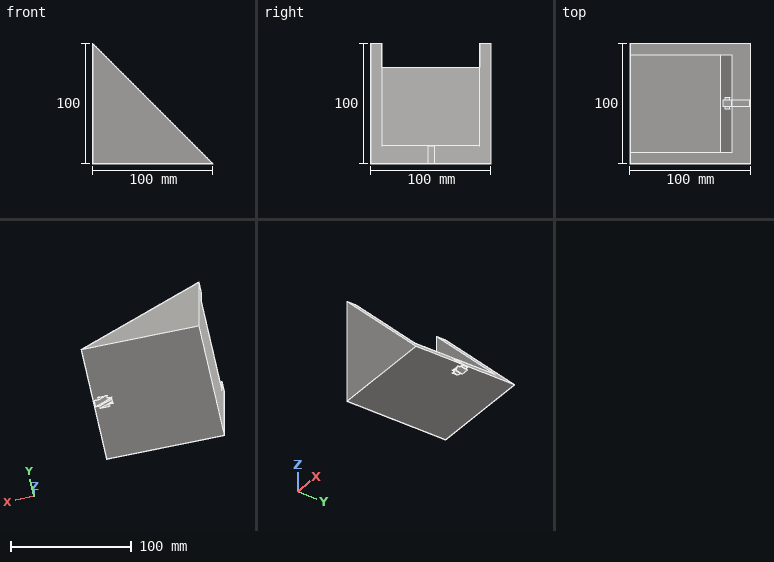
import cadquery as cq
import math

size = 100.0

pocket_depth = 14.0
pocket_width = 81.2
pocket_end_x = 84.8

passage_x = 80.7
passage_y = 0.4
tall_height = 10.3
tall_width = 5.5
wide_height = 5.4
wide_width = 9.8

depth_run = pocket_depth / math.sqrt(2)


def extrude_across(points, width):
    """Extrude an XZ outline symmetrically about the plane Y = 0."""
    return cq.Workplane("XZ").polyline(points).close().extrude(width / 2, both=True)


def make_wedge():
    return extrude_across([(0, 0), (size, 0), (0, size)], size)


def make_pocket():
    floor_x = pocket_end_x - depth_run
    end_z = size - pocket_end_x
    outline = [
        (0, size - 2 * depth_run),
        (floor_x, end_z - depth_run),
        (pocket_end_x, end_z),
        (0, size),
    ]
    return extrude_across(outline, pocket_width)


def make_passage():
    wall_z = passage_x + size - 2 * pocket_end_x
    end_wall = cq.Plane(
        origin=(passage_x, passage_y, wall_z),
        xDir=(0, 1, 0),
        normal=(1, 0, -1),
    )
    length = size / 2
    tall = cq.Workplane(end_wall).rect(tall_width, tall_height).extrude(length)
    wide = cq.Workplane(end_wall).rect(wide_width, wide_height).extrude(length)
    return tall.union(wide)


result = make_wedge().cut(make_pocket()).cut(make_passage())